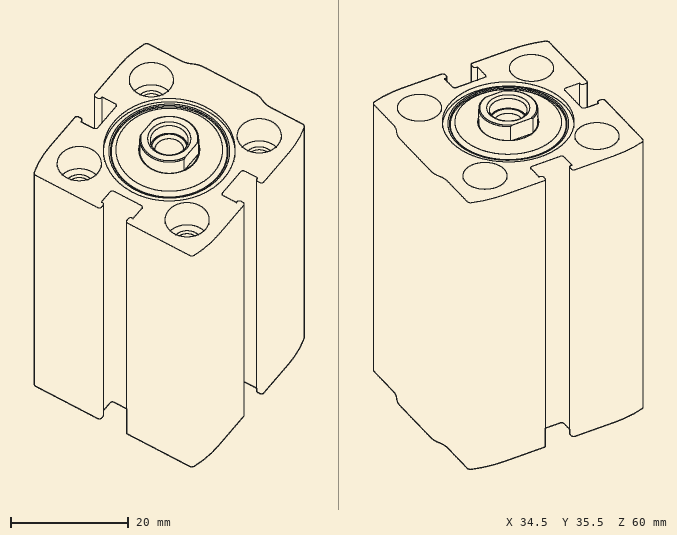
import cadquery as cq
import math

height = 57.0
width = 34.5
half_width = width / 2
flank_flat = 10.8
flank_radius = 20.0
corner_radius = 0.65
bump_height = 1.0
bump_top_half = 5.15
bump_foot_half = 9.2

mouth_half = 2.6
slot_edge_radius = 0.5
lip_depth = 1.4
chamber_half = 3.25
slot_depth = 4.5

hole_pitch = 22.0
hole_offset = hole_pitch / 2
counterbore_dia = 7.5
counterbore_depth = 6.0
through_dia = 4.2
through_mouth_dia = 4.9

recess_dia = 22.4
recess_radius = recess_dia / 2
recess_depth = 0.9
ridge_radius = 10.25
ridge_depth = 0.35
ridge_inner_dia = 20.0
ridge_inner_radius = ridge_inner_dia / 2
ridge_inner_depth = 0.4
groove_radius = 9.85
groove_depth = 0.6
cap_shoulder_radius = 9.3
cap_shoulder_depth = 0.15
cap_top_radius = 9.05

rod_dia = 10.0
rod_projection = 3.0
rod_insertion = 18.0
rod_chamfer = 0.2
bore_chamfer = 0.2
across_flats = 9.0
flat_end_depth = 0.3
flat_end_slope = 30.0
pilot_dia = 6.4
pilot_mouth_dia = 7.3
pilot_depth = 2.5
thread_dia = 4.9
thread_mouth_dia = 6.0
thread_depth = 12.0
drill_tip_angle = 118.0

rod_radius = rod_dia / 2
flat_half_spacing = across_flats / 2
rod_top = height + rod_projection
rod_bottom = height - rod_insertion


def revolve_profile(points):
    """Revolve a closed (radius, z) profile about the Z axis."""
    return cq.Workplane("XZ").polyline(points).close().revolve(360, (0, 0, 0), (0, 1, 0))


def countersunk_hole(dia, mouth_dia, top, bottom):
    """Hole cutter with a 45 degree countersink at its top."""
    mouth_depth = (mouth_dia - dia) / 2
    return revolve_profile([
        (0, bottom),
        (dia / 2, bottom),
        (dia / 2, top - mouth_depth),
        (mouth_dia / 2, top),
        (0, top),
    ])


def cylinder(dia, top, bottom):
    """Cylinder on the Z axis between two heights."""
    return cq.Workplane("XY").workplane(offset=bottom).circle(dia / 2).extrude(top - bottom)


def make_extrusion():
    bow_angle = math.asin((half_width - flank_flat) / flank_radius)
    corner_x = half_width - flank_radius * (1 - math.cos(bow_angle))
    mid_x = half_width - flank_radius * (1 - math.cos(bow_angle / 2))
    mid_y = flank_flat + flank_radius * math.sin(bow_angle / 2)
    bump_mid = ((bump_top_half + bump_foot_half) / 2, half_width + bump_height / 2)
    body = (
        cq.Workplane("XY")
        .moveTo(0, -half_width)
        .lineTo(corner_x, -half_width)
        .threePointArc((mid_x, -mid_y), (half_width, -flank_flat))
        .lineTo(half_width, flank_flat)
        .threePointArc((mid_x, mid_y), (corner_x, half_width))
        .lineTo(bump_foot_half, half_width)
        .tangentArcPoint(bump_mid, relative=False)
        .tangentArcPoint((bump_top_half, half_width + bump_height), relative=False)
        .lineTo(0, half_width + bump_height)
        .mirrorY()
        .extrude(height)
    )
    for x in (-corner_x, corner_x):
        for y in (-half_width, half_width):
            corner = cq.selectors.NearestToPointSelector((x, y, height / 2))
            body = body.edges(corner).fillet(corner_radius)
    return body


def make_slot():
    """Slot cutter for the -Y side: a narrow mouth with rounded lips opens into a wider chamber."""
    face = -half_width
    lip_back = face + lip_depth
    chamber_back = face + slot_depth
    return (
        cq.Workplane("XY")
        .moveTo(0, face)
        .lineTo(mouth_half + slot_edge_radius, face)
        .radiusArc((mouth_half, face + slot_edge_radius), slot_edge_radius)
        .lineTo(mouth_half, lip_back - slot_edge_radius)
        .radiusArc((mouth_half + slot_edge_radius, lip_back), slot_edge_radius)
        .lineTo(chamber_half, lip_back)
        .lineTo(chamber_half, chamber_back - slot_edge_radius)
        .radiusArc((chamber_half - slot_edge_radius, chamber_back), -slot_edge_radius)
        .lineTo(0, chamber_back)
        .mirrorY()
        .extrude(height)
    )


def make_mounting_hole(x, y):
    floor = height - counterbore_depth
    counterbore = cylinder(counterbore_dia, height, floor)
    through_hole = countersunk_hole(through_dia, through_mouth_dia, floor, 0)
    return counterbore.union(through_hole).translate((x, y, 0))


def make_cap_recess():
    """Annular cutter that leaves a sharp ridge and the bevelled end cap standing."""
    return revolve_profile([
        (recess_radius, height),
        (recess_radius, height - recess_depth),
        (ridge_radius, height - ridge_depth),
        (ridge_inner_radius, height - ridge_inner_depth),
        (groove_radius, height - groove_depth),
        (cap_shoulder_radius, height - cap_shoulder_depth),
        (cap_top_radius, height),
    ])


def make_housing():
    body = make_extrusion()
    for angle in (-90, 0, 90):
        body = body.cut(make_slot().rotate((0, 0, 0), (0, 0, 1), angle))
    for x in (-hole_offset, hole_offset):
        for y in (-hole_offset, hole_offset):
            body = body.cut(make_mounting_hole(x, y))
    body = body.cut(make_cap_recess())
    return body.cut(countersunk_hole(rod_dia, rod_dia + 2 * bore_chamfer, height, rod_bottom))


def make_wrench_flat():
    """Cutter for the +X wrench flat, ending in a ramp that falls outwards."""
    ramp_top = height - flat_end_depth
    ramp_drop = (rod_radius - flat_half_spacing) * math.tan(math.radians(flat_end_slope))
    return (
        cq.Workplane("XZ")
        .polyline([
            (flat_half_spacing, ramp_top),
            (rod_radius, ramp_top - ramp_drop),
            (rod_radius, rod_top),
            (flat_half_spacing, rod_top),
        ])
        .close()
        .extrude(rod_radius, both=True)
    )


def make_threaded_hole():
    pilot_floor = rod_top - pilot_depth
    hole_bottom = pilot_floor - thread_depth
    tip_depth = thread_dia / 2 / math.tan(math.radians(drill_tip_angle / 2))
    tip = revolve_profile([(0, hole_bottom), (thread_dia / 2, hole_bottom), (0, hole_bottom - tip_depth)])
    pilot = countersunk_hole(pilot_dia, pilot_mouth_dia, rod_top, pilot_floor)
    thread = countersunk_hole(thread_dia, thread_mouth_dia, pilot_floor, hole_bottom)
    return pilot.union(thread).union(tip)


def make_rod():
    rod = cylinder(rod_dia, rod_top, rod_bottom)
    rod = rod.faces(">Z").chamfer(rod_chamfer)
    for angle in (0, 180):
        rod = rod.cut(make_wrench_flat().rotate((0, 0, 0), (0, 0, 1), angle))
    return rod.cut(make_threaded_hole())


housing = make_housing()
rod = make_rod()
result = cq.Compound.makeCompound([housing.val(), rod.val()])